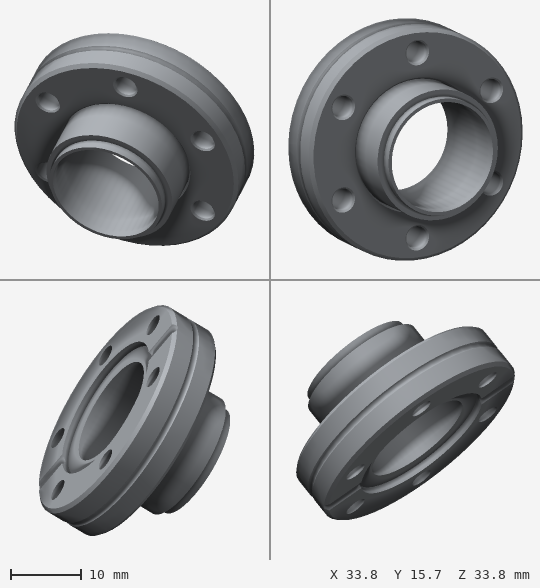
import cadquery as cq


ring_diameter = 33.8
ring_thickness = 7.6
rim_chamfer = 0.5
ring_bore_diameter = 19.2
ring_bore_chamfer = 0.25

recess_diameter = 21.4
recess_depth = ring_thickness / 2

groove_width = 1.0
groove_depth = 0.27

bolt_count = 6
bolt_circle_diameter = 27.0
bolt_hole_diameter = 3.25
bolt_hole_chamfer = 0.25

notch_width = 2.25
notch_depth = 0.6

overall_length = 15.7
head_diameter = 21.1
head_setback = 1.0
tube_diameter = 19.0
spigot_diameter = 17.0
spigot_length = 1.5
nipple_bore_diameter = 16.0


def revolve_about_y(profile):
    """Turn a closed (radius, y) profile drawn in the XY plane about the Y axis."""
    return profile.close().revolve(360, (0, 0, 0), (0, 1, 0))


def ring_blank():
    outer = ring_diameter / 2
    bore = ring_bore_diameter / 2
    recess = recess_diameter / 2
    front = -ring_thickness
    middle = -ring_thickness / 2
    return revolve_about_y(
        cq.Workplane("XY")
        .moveTo(recess, 0)
        .lineTo(outer - rim_chamfer, 0)
        .lineTo(outer, -rim_chamfer)
        .lineTo(outer, middle + groove_width / 2)
        .threePointArc((outer - groove_depth, middle), (outer, middle - groove_width / 2))
        .lineTo(outer, front + rim_chamfer)
        .lineTo(outer - rim_chamfer, front)
        .lineTo(bore + ring_bore_chamfer, front)
        .lineTo(bore, front + ring_bore_chamfer)
        .lineTo(bore, -recess_depth)
        .lineTo(recess, -recess_depth)
    )


def bolt_hole_cutter():
    """A bolt hole on the Y axis, with its chamfer at the front face of the ring."""
    radius = bolt_hole_diameter / 2
    front = -ring_thickness
    return revolve_about_y(
        cq.Workplane("XY")
        .moveTo(0, 0)
        .lineTo(radius, 0)
        .lineTo(radius, front + bolt_hole_chamfer)
        .lineTo(radius + bolt_hole_chamfer, front)
        .lineTo(0, front)
    )


def notch_cutter():
    """A bar along X whose cross-section is an arc segment below the rear face."""
    return (
        cq.Workplane("YZ")
        .moveTo(0, -notch_width / 2)
        .threePointArc((-notch_depth, 0), (0, notch_width / 2))
        .close()
        .extrude(ring_diameter / 2, both=True)
    )


def make_ring():
    ring = ring_blank()
    hole = bolt_hole_cutter().translate((0, 0, bolt_circle_diameter / 2))
    for index in range(bolt_count):
        angle = index * 360 / bolt_count
        ring = ring.cut(hole.rotate((0, 0, 0), (0, 1, 0), angle))
    return ring.cut(notch_cutter())


def make_nipple():
    bore = nipple_bore_diameter / 2
    head = head_diameter / 2
    tube = tube_diameter / 2
    spigot = spigot_diameter / 2
    tip = -overall_length
    shoulder = tip + spigot_length
    return revolve_about_y(
        cq.Workplane("XY")
        .moveTo(bore, -head_setback)
        .lineTo(head, -head_setback)
        .lineTo(head, -recess_depth)
        .lineTo(tube, -recess_depth)
        .lineTo(tube, shoulder)
        .lineTo(spigot, shoulder)
        .lineTo(spigot, tip)
        .lineTo(bore, tip)
    )


ring = make_ring()
nipple = make_nipple()
result = cq.Compound.makeCompound([ring.val(), nipple.val()])